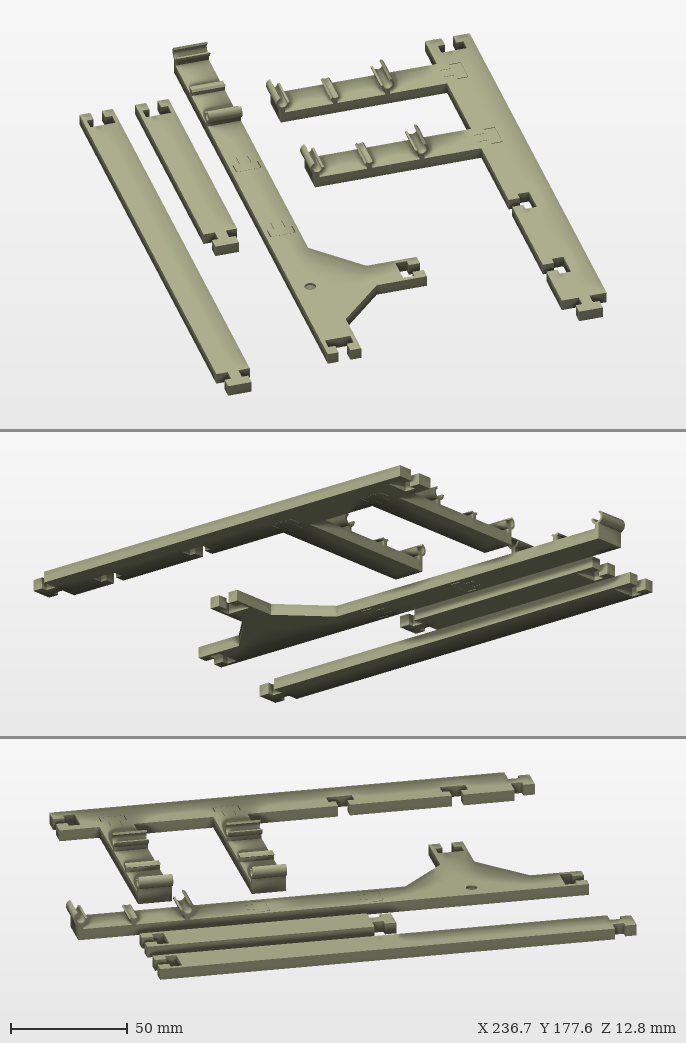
import cadquery as cq
import math

plate_thickness = 5.0
bar_width = 15.0
rail_width = 20.1

tab_length = 10.0
tab_neck_width = 4.8
tab_head_width = 10.6
neck_length = tab_length / 2
neck_side_clearance = 0.2
head_side_clearance = 0.4
head_end_clearance = 0.1
socket_depth = tab_length + head_end_clearance
socket_neck_width = tab_neck_width + 2 * neck_side_clearance
socket_head_width = tab_head_width + 2 * head_side_clearance

long_length = 200.0
medium_length = 100.0
short_length = 50.0
branch_length = 100.0
branch_reach = 50.0
branch_gusset = 20.0
branch_recess_diameter = 5.0
branch_recess_depth = 1.0
arm_length = 74.6

rail_socket_pitch = 50.0
rail_socket_count = 4
clip_arm_count = 2

post_width = 2.0
clip_spacing = 23.5
ring_outer_radius = 3.1
ring_inner_radius = 2.1
ring_center_height = 9.948
ring_mouth_start = 0.0
ring_mouth_end = 114.0
cradle_half_angle = 41.0

medium_center_y = 25.0
row_center_y = 50.0
rail_left_x = -8.35
rail_bottom_y = 150.0
row_start_x = short_length


def plate(length, width):
    """Flat bar running along +X from the origin, centred on the X axis."""
    return cq.Workplane("XY").box(length, width, plate_thickness, centered=(False, True, False))


def joint_prism(neck_width, head_width, depth):
    """T-shaped prism that starts at the origin and points along +X."""
    neck = plate(depth, neck_width)
    head = plate(depth - neck_length, head_width).translate((neck_length, 0, 0))
    return neck.union(head)


def socket(x, y, direction):
    """Cutter for a socket whose mouth is at (x, y), going inward at an angle from +X."""
    cutter = joint_prism(socket_neck_width, socket_head_width, socket_depth)
    return cutter.rotate((0, 0, 0), (0, 0, 1), direction).translate((x, y, 0))


def tab(x):
    """Tab pointing along +X from the bar end at x."""
    return joint_prism(tab_neck_width, tab_head_width, tab_length).translate((x, 0, 0))


def link_bar(length, width):
    """Bar with a socket at its left end and a tab at its right end."""
    return plate(length, width).cut(socket(0, 0, 0)).union(tab(length))


def curved_wall(center_x, start_angle, end_angle):
    """Part of a ring wall with its axis along Y, between two angles measured from +X toward +Z."""
    def point(radius, angle):
        turn = math.radians(angle)
        return (center_x + radius * math.cos(turn), ring_center_height + radius * math.sin(turn))

    middle_angle = (start_angle + end_angle) / 2
    return (
        cq.Workplane("XZ")
        .moveTo(*point(ring_outer_radius, start_angle))
        .threePointArc(point(ring_outer_radius, middle_angle), point(ring_outer_radius, end_angle))
        .lineTo(*point(ring_inner_radius, end_angle))
        .threePointArc(point(ring_inner_radius, middle_angle), point(ring_inner_radius, start_angle))
        .close()
        .extrude(bar_width / 2, both=True)
    )


def post(center_x):
    """Upright wall from the plate into the middle of the ring wall above it."""
    top = ring_center_height - (ring_outer_radius + ring_inner_radius) / 2
    wall = cq.Workplane("XY").box(post_width, bar_width, top, centered=(True, True, False))
    return wall.translate((center_x, 0, 0))


def clip_arm():
    """Arm with its tab root at the origin, reaching along -X, with two snap rings and a cradle."""
    arm = plate(arm_length, bar_width).translate((-arm_length, 0, 0)).union(tab(0))
    outer_x = -arm_length + post_width / 2
    cradle_x = outer_x + clip_spacing
    inner_x = cradle_x + clip_spacing

    outer_ring = curved_wall(outer_x, ring_mouth_end, 360 + ring_mouth_start)
    inner_ring = curved_wall(inner_x, 180 - ring_mouth_start, 540 - ring_mouth_end)
    cradle = curved_wall(cradle_x, 270 - cradle_half_angle, 270 + cradle_half_angle)
    arm = arm.union(post(outer_x)).union(outer_ring)
    arm = arm.union(post(inner_x)).union(inner_ring)
    return arm.union(post(cradle_x)).union(cradle)


def branch_plate():
    """Three-way plate with a gusseted stem along +Y, a socket in each end and a round recess."""
    half_length = branch_length / 2
    half_width = bar_width / 2
    gusset_end = half_width + branch_gusset
    outline = [
        (-half_length, -half_width),
        (half_length, -half_width),
        (half_length, half_width),
        (gusset_end, half_width),
        (half_width, gusset_end),
        (half_width, branch_reach),
        (-half_width, branch_reach),
        (-half_width, gusset_end),
        (-gusset_end, half_width),
        (-half_length, half_width),
    ]
    body = cq.Workplane("XY").polyline(outline).close().extrude(plate_thickness)
    recess = (
        cq.Workplane("XY", origin=(0, 0, plate_thickness - branch_recess_depth))
        .circle(branch_recess_diameter / 2)
        .extrude(branch_recess_depth)
    )
    body = body.cut(socket(-half_length, 0, 0)).cut(socket(half_length, 0, 180))
    return body.cut(socket(0, branch_reach, -90)).cut(recess)


def rail_socket_x(index):
    """Place of a clip socket along the rail, measured from the rail's left end."""
    return rail_socket_pitch * (index + 0.5)


def socket_rail():
    """Wide link bar with a row of clip sockets along its lower edge."""
    rail = link_bar(long_length, rail_width)
    for index in range(rail_socket_count):
        rail = rail.cut(socket(rail_socket_x(index), -rail_width / 2, 90))
    return rail


long_bar = link_bar(long_length, bar_width)
medium_bar = link_bar(medium_length, bar_width).translate((0, medium_center_y, 0))

row_arm = clip_arm().translate((row_start_x, row_center_y, 0))
short_bar = link_bar(short_length, bar_width).translate((row_start_x, row_center_y, 0))
branch_center_x = row_start_x + short_length + branch_length / 2
branch = branch_plate().translate((branch_center_x, row_center_y, 0))

rail = socket_rail().translate((rail_left_x, rail_bottom_y + rail_width / 2, 0))
rail_arms = []
for arm_index in range(clip_arm_count):
    turned_arm = clip_arm().rotate((0, 0, 0), (0, 0, 1), 90)
    arm_x = rail_left_x + rail_socket_x(arm_index)
    rail_arms.append(turned_arm.translate((arm_x, rail_bottom_y, 0)))

result = cq.Compound.makeCompound(
    [
        long_bar.val(),
        medium_bar.val(),
        row_arm.val(),
        short_bar.val(),
        branch.val(),
        rail.val(),
        *[arm.val() for arm in rail_arms],
    ]
)